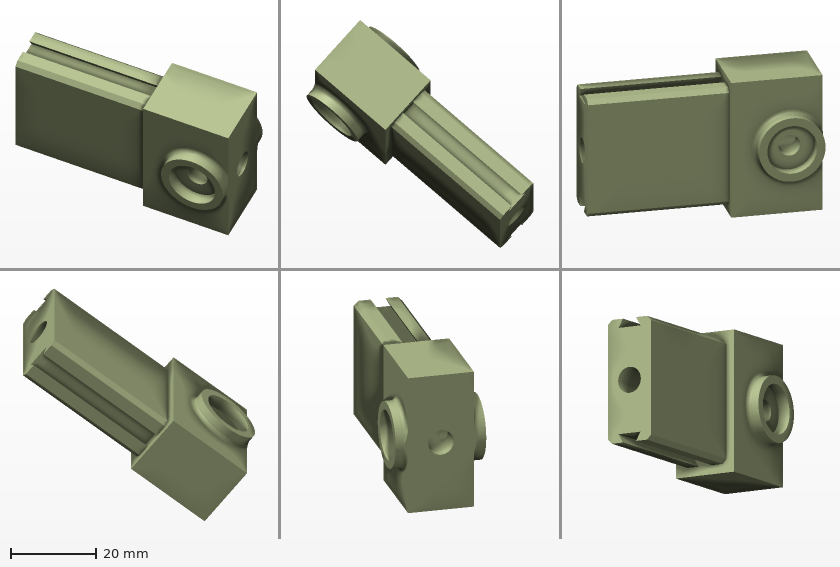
import cadquery as cq
import math

head_length = 22.0
head_width = 16.0
head_height = 34.0

bar_length = 34.0
bar_width = 11.8
bar_height = 29.6
bar_chamfer = 1.1

groove_floor_width = 6.0
groove_depth = 2.1
groove_wall_angle = 30.0
groove_undercut = groove_depth * math.tan(math.radians(groove_wall_angle))
groove_mouth_width = groove_floor_width - 2 * groove_undercut

boss_diameter = 16.0
boss_height = 3.0
boss_fillet = 1.0
recess_diameter = 12.0
recess_depth = boss_height

cross_hole_diameter = 5.2
long_hole_diameter = 6.2

total_length = bar_length + head_length
total_width = head_width + 2 * boss_height
head_x = bar_length + head_length / 2
boss_x = total_length - boss_diameter / 2


def make_head(width):
    """Block with the length and height of the head and the given width along Y."""
    return cq.Workplane("XY", origin=(head_x, 0, 0)).box(head_length, width, head_height)


def make_groove(side):
    """Dovetail groove on the top (side = 1) or the bottom (side = -1) of the bar."""
    mouth_z = side * bar_height / 2
    floor_z = mouth_z - side * groove_depth
    return (
        cq.Workplane("YZ")
        .moveTo(-groove_mouth_width / 2, mouth_z)
        .lineTo(groove_mouth_width / 2, mouth_z)
        .lineTo(groove_floor_width / 2, floor_z)
        .lineTo(-groove_floor_width / 2, floor_z)
        .close()
        .extrude(bar_length)
    )


def make_bar():
    bar = (
        cq.Workplane("YZ")
        .rect(bar_width, bar_height)
        .extrude(bar_length)
        .edges("|X")
        .chamfer(bar_chamfer)
    )
    for side in (1, -1):
        bar = bar.cut(make_groove(side))
    return bar


def make_boss(side):
    """Boss with a concave fillet at its base, on the +Y (side = 1) or -Y (side = -1) face."""
    radius = boss_diameter / 2
    base_y = side * head_width / 2
    fillet_top_y = base_y + side * boss_fillet
    tip_y = side * total_width / 2
    arc_offset = boss_fillet * (1 - math.cos(math.radians(45)))
    boss = (
        cq.Workplane("XY")
        .moveTo(0, 0)
        .lineTo(0, tip_y)
        .lineTo(radius, tip_y)
        .lineTo(radius, fillet_top_y)
        .threePointArc(
            (radius + arc_offset, base_y + side * arc_offset),
            (radius + boss_fillet, base_y),
        )
        .lineTo(radius + boss_fillet, 0)
        .close()
        .revolve(360, (0, 0, 0), (0, 1, 0))
        .translate((boss_x, 0, 0))
    )
    return boss.intersect(make_head(total_width))


def make_recess(side):
    """Round recess in the tip of a boss."""
    return (
        cq.Workplane("XZ", origin=(boss_x, side * total_width / 2, 0))
        .circle(recess_diameter / 2)
        .extrude(side * recess_depth)
    )


def make_cross_hole():
    return (
        cq.Workplane("XZ", origin=(boss_x, total_width / 2, 0))
        .circle(cross_hole_diameter / 2)
        .extrude(total_width)
    )


def make_long_hole():
    return cq.Workplane("YZ").circle(long_hole_diameter / 2).extrude(total_length)


result = make_head(head_width).union(make_bar())
for boss_side in (1, -1):
    result = result.union(make_boss(boss_side)).cut(make_recess(boss_side))
result = result.cut(make_cross_hole()).cut(make_long_hole())